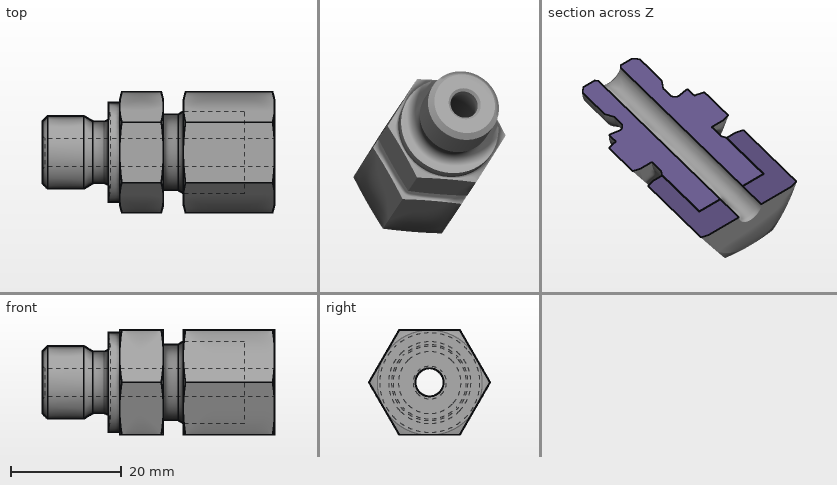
import cadquery as cq
import math


total_length = 42.0
thread_end = 7.5
relief_start = 9.15
collar_start = 11.93
body_hex_start = 14.0
body_hex_end = 21.9
spigot_cone_start = 24.55
nut_start = 25.5
spigot_end = 36.55

bore_radius = 2.5
bore_mouth_radius = 3.0
thread_radius = 6.6
relief_radius = 5.63
dish_inner_radius = 6.95
dish_outer_radius = 8.6
collar_radius = 9.05
neck_radius = 6.9

tip_chamfer = 0.95
spigot_cone_angle = 30.0
dish_angle = 10.0
hex_chamfer_angle = 15.0

across_flats = 19.0
across_corners = across_flats / math.cos(math.radians(30))

spigot_radius = neck_radius + (nut_start - spigot_cone_start) * math.tan(math.radians(spigot_cone_angle))

dish_rad = math.radians(dish_angle)
dish_bottom = collar_start + (dish_outer_radius - dish_inner_radius) * math.tan(dish_rad)
fillet_radius = (dish_inner_radius - relief_radius) / (1 + math.sin(dish_rad))
fillet_start = dish_bottom - fillet_radius * math.cos(dish_rad)
fillet_mid_angle = (math.pi / 2 + dish_rad) / 2
fillet_mid = (
    fillet_start + fillet_radius * math.sin(fillet_mid_angle),
    relief_radius + fillet_radius * (1 - math.cos(fillet_mid_angle)),
)


def revolve_about_x(profile):
    """Revolve a closed (axial, radial) profile about the X axis."""
    return profile.close().revolve(360, (0, 0, 0), (1, 0, 0))


def cylinder(start, end, radius):
    return cq.Workplane("YZ").workplane(offset=start).circle(radius).extrude(end - start)


def chamfered_hexagon(start, end):
    """Hexagonal prism whose corners are turned off by a cone at both ends."""
    prism = cq.Workplane("YZ").workplane(offset=start).polygon(6, across_corners).extrude(end - start)
    face_radius = across_flats / 2
    corner_radius = across_corners / 2
    chamfer_length = (corner_radius - face_radius) * math.tan(math.radians(hex_chamfer_angle))
    envelope = revolve_about_x(
        cq.Workplane("XY")
        .moveTo(start, 0)
        .lineTo(start, face_radius)
        .lineTo(start + chamfer_length, corner_radius)
        .lineTo(end - chamfer_length, corner_radius)
        .lineTo(end, face_radius)
        .lineTo(end, 0)
    )
    return prism.intersect(envelope)


def make_stud_and_collar():
    """Threaded stud, thread relief and the collar with its dished face."""
    return revolve_about_x(
        cq.Workplane("XY")
        .moveTo(0, 0)
        .lineTo(0, thread_radius - tip_chamfer)
        .lineTo(tip_chamfer, thread_radius)
        .lineTo(thread_end, thread_radius)
        .lineTo(relief_start, relief_radius)
        .lineTo(fillet_start, relief_radius)
        .threePointArc(fillet_mid, (dish_bottom, dish_inner_radius))
        .lineTo(collar_start, dish_outer_radius)
        .lineTo(collar_start, collar_radius)
        .lineTo(body_hex_start, collar_radius)
        .lineTo(body_hex_start, 0)
    )


def make_spigot():
    """Neck behind the body hexagon and the spigot that sits inside the nut."""
    return revolve_about_x(
        cq.Workplane("XY")
        .moveTo(body_hex_end, 0)
        .lineTo(body_hex_end, neck_radius)
        .lineTo(spigot_cone_start, neck_radius)
        .lineTo(nut_start, spigot_radius)
        .lineTo(spigot_end, spigot_radius)
        .lineTo(spigot_end, 0)
    )


def make_bore_mouth():
    """45 degree countersink at the stud tip."""
    depth = bore_mouth_radius - bore_radius
    return revolve_about_x(
        cq.Workplane("XY")
        .moveTo(0, 0)
        .lineTo(0, bore_mouth_radius)
        .lineTo(depth, bore_radius)
        .lineTo(depth, 0)
    )


def make_fitting_body():
    outside = (
        make_stud_and_collar()
        .union(chamfered_hexagon(body_hex_start, body_hex_end))
        .union(make_spigot())
    )
    return outside.cut(cylinder(0, spigot_end, bore_radius)).cut(make_bore_mouth())


def make_nut():
    """Hexagon nut with a socket that fits the spigot and a bore through its end wall."""
    socket = cylinder(nut_start, spigot_end, spigot_radius)
    end_bore = cylinder(spigot_end, total_length, bore_radius)
    return chamfered_hexagon(nut_start, total_length).cut(socket).cut(end_bore)


fitting_body = make_fitting_body()
nut = make_nut()

result = cq.Compound.makeCompound([fitting_body.solids().val(), nut.solids().val()])